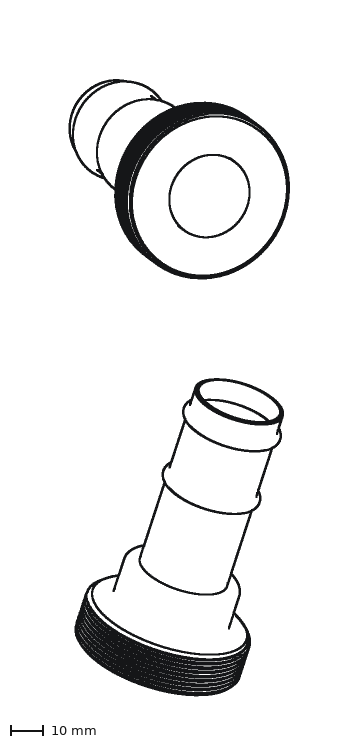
import math

import cadquery as cq

total_length = 89.0
tube_radius = 14.0
wall_thickness = 1.0
bore_radius = tube_radius - wall_thickness

tube_chamfer_depth = 0.5
tube_chamfer_length = 0.3

bead_positions = (8.0, 30.0)
bead_radius = 1.5
bead_fillet = 0.2
groove_radius = bead_radius - wall_thickness
groove_lip_radius = bead_fillet + wall_thickness

collar_start = 60.0
collar_end = 74.0
collar_radius = 18.5
collar_front_fillet = 2.0
collar_root_fillet = 1.0

rim_start = 75.0
cone_outer_radius = 24.7
thread_radius = 26.21
rim_front_chamfer = thread_radius - cone_outer_radius
rim_end_chamfer = 1.1

thread_pitch = 1.5
flank_angle = math.radians(30)
thread_depth = 5 / 16 * thread_pitch / math.tan(flank_angle)
thread_root_width = thread_pitch / 4
thread_overcut = 0.1
thread_cut_start = 74.3
thread_cut_turns = 11


def add_beads(outline, wall_radius, crest_radius, foot_radius):
    """Extend the outline towards +X along the wall, over each rounded bead."""
    foot_rise = foot_radius + wall_radius - tube_radius
    center_distance = crest_radius + foot_radius
    half_width = math.sqrt(center_distance**2 - foot_rise**2)
    touch_ratio = crest_radius / center_distance
    touch_offset = touch_ratio * half_width
    touch_radius = tube_radius + touch_ratio * foot_rise
    for position in bead_positions:
        outline = (
            outline
            .lineTo(position - half_width, wall_radius)
            .radiusArc((position - touch_offset, touch_radius), -foot_radius)
            .threePointArc(
                (position, tube_radius + crest_radius),
                (position + touch_offset, touch_radius),
            )
            .radiusArc((position + half_width, wall_radius), -foot_radius)
        )
    return outline


def revolve_about_x(outline):
    return outline.close().revolve(360, (0, 0, 0), (1, 0, 0))


def make_body():
    """Outer shape without bore or thread: tube, collar, conical flange and rim."""
    outline = (
        cq.Workplane("XY")
        .lineTo(0, tube_radius - tube_chamfer_depth)
        .lineTo(tube_chamfer_length, tube_radius)
    )
    outline = add_beads(outline, tube_radius, bead_radius, bead_fillet)
    outline = (
        outline
        .lineTo(collar_start, tube_radius)
        .lineTo(collar_start, collar_radius - collar_front_fillet)
        .radiusArc((collar_start + collar_front_fillet, collar_radius), collar_front_fillet)
        .lineTo(collar_end, collar_radius)
        .lineTo(rim_start, cone_outer_radius)
        .lineTo(rim_start + rim_front_chamfer, thread_radius)
        .lineTo(total_length - rim_end_chamfer, thread_radius)
        .lineTo(total_length, thread_radius - rim_end_chamfer)
        .lineTo(total_length, 0)
    )
    return revolve_about_x(outline)


def fillet_collar_root(body):
    """Round the inside corner between the collar and the conical flange."""
    margin = collar_root_fillet / 2
    reach = collar_radius + margin
    root_edges = cq.selectors.BoxSelector(
        (collar_end - margin, -reach, -reach),
        (collar_end + margin, reach, reach),
        boundingbox=True,
    )
    return body.edges(root_edges).fillet(collar_root_fillet)


def make_bore():
    """Through bore that follows the inside of the rolled beads."""
    outline = cq.Workplane("XY").lineTo(0, bore_radius)
    outline = add_beads(outline, bore_radius, groove_radius, groove_lip_radius)
    outline = outline.lineTo(total_length, bore_radius).lineTo(total_length, 0)
    return revolve_about_x(outline)


def make_thread_cut():
    """Helical V groove with a flat root, running out past both ends of the rim."""
    root_radius = thread_radius - thread_depth
    outer_radius = thread_radius + thread_overcut
    half_root = thread_root_width / 2
    half_outer = half_root + (outer_radius - root_radius) * math.tan(flank_angle)
    helix = cq.Wire.makeHelix(thread_pitch, thread_cut_turns * thread_pitch, root_radius)
    groove = (
        cq.Workplane("XZ")
        .polyline([
            (root_radius, -half_root),
            (outer_radius, -half_outer),
            (outer_radius, half_outer),
            (root_radius, half_root),
        ])
        .close()
        .sweep(cq.Workplane(helix), isFrenet=True)
    )
    groove = groove.rotate((0, 0, 0), (0, 0, 1), 180).rotate((0, 0, 0), (0, 1, 0), 90)
    return groove.translate((thread_cut_start, 0, 0))


result = fillet_collar_root(make_body())
result = result.cut(make_bore())
result = result.cut(make_thread_cut())